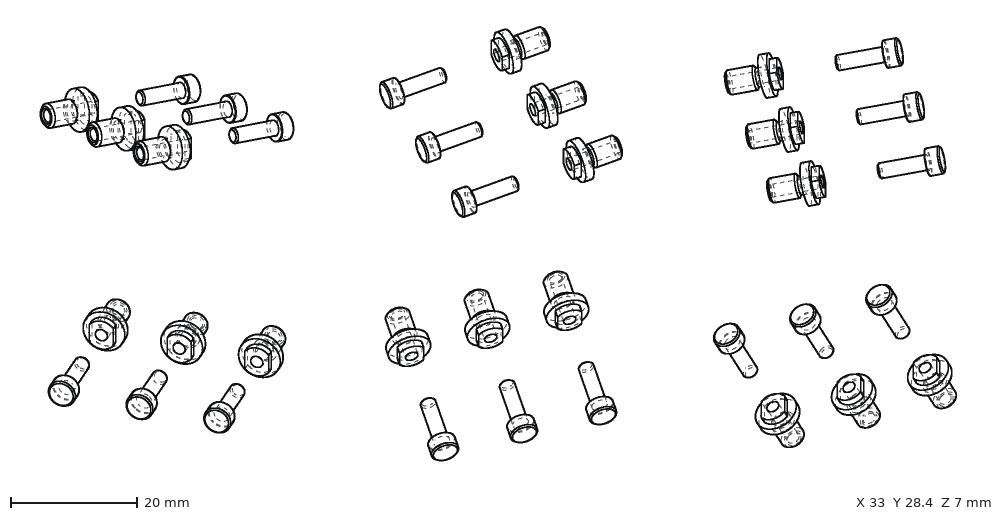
import cadquery as cq

SET_COUNT = 3
SET_PITCH = 13.0
OVERALL_LENGTH = 28.35

INSERT_DIAMETER = 4.0
INSERT_TIP_CHAMFER = 0.4
INSERT_BODY_LENGTH = 4.62
INSERT_SHOULDER_LENGTH = 0.35
INSERT_NECK_DIAMETER = 3.1
INSERT_NECK_LENGTH = 0.95
INSERT_NECK_FILLET = 0.2
FLANGE_DIAMETER = 7.0
FLANGE_THICKNESS = 1.5
KEY_DIAMETER = 5.08
KEY_WIDTH = INSERT_DIAMETER
KEY_HEIGHT = 1.25
BORE_DIAMETER = 2.0
BORE_MOUTH_DIAMETER = 2.5

HEAD_DIAMETER = 4.5
HEAD_HEIGHT = 2.4
HEAD_TOP_CHAMFER = 0.25
HEAD_BOTTOM_CHAMFER = 0.1
SHANK_DIAMETER = BORE_MOUTH_DIAMETER
SHANK_LENGTH = 8.0
SHANK_TIP_CHAMFER = 0.25
COLLAR_DIAMETER = 2.57
COLLAR_LENGTH = 0.53

shoulder_end = INSERT_BODY_LENGTH + INSERT_SHOULDER_LENGTH
flange_start = shoulder_end + INSERT_NECK_LENGTH
flange_end = flange_start + FLANGE_THICKNESS
insert_end = flange_end + KEY_HEIGHT
screw_head_start = OVERALL_LENGTH - HEAD_HEIGHT
screw_tip = screw_head_start - SHANK_LENGTH


def revolve_about_y(profile):
    """Close a (radius, y) half profile and turn it about the Y axis."""
    return profile.close().revolve(360, (0, 0, 0), (0, 1, 0))


def make_insert():
    """Stud with a necked shank, a flange, a two-flat key and a through bore."""
    radius = INSERT_DIAMETER / 2
    neck_radius = INSERT_NECK_DIAMETER / 2
    stud = revolve_about_y(
        cq.Workplane("XY")
        .lineTo(radius - INSERT_TIP_CHAMFER, 0)
        .lineTo(radius, INSERT_TIP_CHAMFER)
        .lineTo(radius, INSERT_BODY_LENGTH)
        .lineTo(neck_radius, shoulder_end)
        .lineTo(neck_radius, flange_start - INSERT_NECK_FILLET)
        .radiusArc((neck_radius + INSERT_NECK_FILLET, flange_start), INSERT_NECK_FILLET)
        .lineTo(FLANGE_DIAMETER / 2, flange_start)
        .lineTo(FLANGE_DIAMETER / 2, flange_end)
        .lineTo(0, flange_end)
    )
    key = (
        cq.Workplane("XZ", origin=(0, flange_end, 0))
        .circle(KEY_DIAMETER / 2)
        .extrude(-KEY_HEIGHT)
        .intersect(cq.Workplane("XY").box(KEY_WIDTH, 2 * insert_end, KEY_DIAMETER))
    )
    bore_radius = BORE_DIAMETER / 2
    mouth_radius = BORE_MOUTH_DIAMETER / 2
    bore = revolve_about_y(
        cq.Workplane("XY")
        .lineTo(mouth_radius, 0)
        .lineTo(bore_radius, mouth_radius - bore_radius)
        .lineTo(bore_radius, insert_end)
        .lineTo(0, insert_end)
    )
    return stud.union(key).cut(bore)


def make_screw():
    """Cylindrical-head screw with a slightly tapered collar under the head."""
    head_radius = HEAD_DIAMETER / 2
    shank_radius = SHANK_DIAMETER / 2
    collar_radius = COLLAR_DIAMETER / 2
    return revolve_about_y(
        cq.Workplane("XY")
        .moveTo(0, screw_tip)
        .lineTo(shank_radius - SHANK_TIP_CHAMFER, screw_tip)
        .lineTo(shank_radius, screw_tip + SHANK_TIP_CHAMFER)
        .lineTo(shank_radius, screw_head_start - COLLAR_LENGTH)
        .lineTo(collar_radius, screw_head_start)
        .lineTo(head_radius - HEAD_BOTTOM_CHAMFER, screw_head_start)
        .lineTo(head_radius, screw_head_start + HEAD_BOTTOM_CHAMFER)
        .lineTo(head_radius, OVERALL_LENGTH - HEAD_TOP_CHAMFER)
        .lineTo(head_radius - HEAD_TOP_CHAMFER, OVERALL_LENGTH)
        .lineTo(0, OVERALL_LENGTH)
    )


inserts = []
screws = []
for index in range(SET_COUNT):
    set_offset = (index - (SET_COUNT - 1) / 2) * SET_PITCH
    inserts.append(make_insert().translate((set_offset, 0, 0)).val())
    screws.append(make_screw().translate((set_offset, 0, 0)).val())

result = cq.Compound.makeCompound([*inserts, *screws])